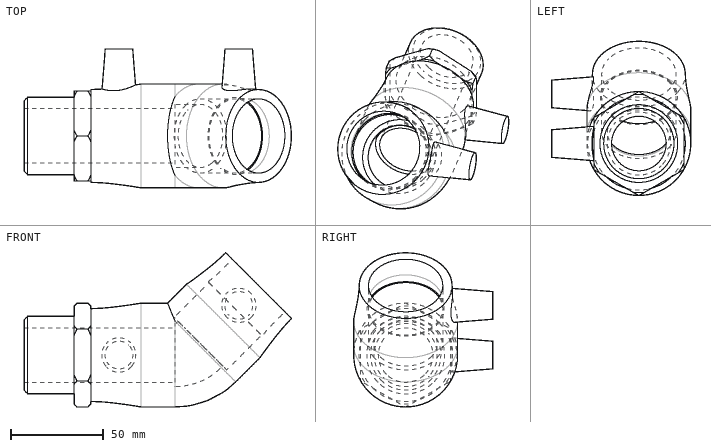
import cadquery as cq
import math

total_length = 144.0
bend_angle = 45.0
body_radius = 56.0 / 2
end_radius = 25.0
taper_length = 27.0

spigot_length = 27.0
spigot_radius = 41.9 / 2
spigot_chamfer = 2.0
hex_end = 36.0
hex_chamfer = 1.6
spigot_bore_radius = 29.4 / 2

bend_start = 81.4
bend_radius = 18.1
bend_bore_radius = 34.0 / 2
bend_tangent = bend_radius * math.tan(math.radians(bend_angle / 2))
corner_x = bend_start + bend_tangent

arm_cos = math.cos(math.radians(bend_angle))
arm_sin = math.sin(math.radians(bend_angle))
arm_length = (total_length - corner_x - end_radius * arm_sin) / arm_cos
socket_radius = 40.0 / 2
socket_bottom = 8.6
groove_radius = 20.7
groove_bottom = 35.1
groove_mouth = 41.0

post_top = 47.0
post_base = 11.5
post_tip_radius = 7.5
post_taper = 0.08
post_inset = 15.1


def cylinder(start, end, radius):
    """Cylinder along the X axis."""
    return cq.Workplane("YZ", origin=(start, 0, 0)).circle(radius).extrude(end - start)


def flared_body(end):
    """Body from its narrow end at x = 0, flaring to the full radius and running on to x = end."""
    return (
        cq.Workplane("XY")
        .lineTo(0, end_radius)
        .spline([(taper_length, body_radius)], tangents=[(1, 0), None], includeCurrent=True)
        .lineTo(end, body_radius)
        .lineTo(end, 0)
        .close()
        .revolve(360, (0, 0, 0), (1, 0, 0))
    )


def onto_arm(solid):
    """Carry a solid built along X from the origin onto the outlet arm axis."""
    return solid.rotate((0, 0, 0), (0, 1, 0), -bend_angle).translate((corner_x, 0, 0))


def revolve_bend(section):
    """Sweep a section at the bend start around the bend axis."""
    return section.revolve(bend_angle, (0, bend_radius, 0), (-1, bend_radius, 0))


def make_spigot():
    return cylinder(0, hex_end, spigot_radius).faces("<X").chamfer(spigot_chamfer)


def make_hexagon():
    """Hexagon with corners up and down, its corners bevelled at both ends."""
    width = hex_end - spigot_length
    hexagon = (
        cq.Workplane("YZ", origin=(spigot_length, 0, 0))
        .transformed(rotate=(0, 0, 90))
        .polygon(6, 2 * body_radius)
        .extrude(width)
    )
    bevel = cylinder(spigot_length, hex_end, body_radius).faces("<X or >X").chamfer(hex_chamfer)
    return hexagon.intersect(bevel)


def make_outer_bend():
    """Outer side of the elbow: the round section below the bend axis."""
    half_chord = math.sqrt(body_radius**2 - bend_radius**2)
    section = (
        cq.Workplane("YZ", origin=(bend_start, 0, 0))
        .moveTo(-half_chord, bend_radius)
        .threePointArc((0, -body_radius), (half_chord, bend_radius))
        .close()
    )
    return cq.Workplane(revolve_bend(section).val().toNURBS())


def make_post(x, z):
    base_radius = post_tip_radius + post_taper * (post_top - post_base)
    return cq.Workplane(
        cq.Solid.makeCone(
            base_radius, post_tip_radius, post_top - post_base,
            cq.Vector(x, post_base, z), cq.Vector(0, 1, 0),
        )
    )


def make_bore():
    """Passage through the spigot, around the bend and out through the socket."""
    inlet = cylinder(0, bend_start, spigot_bore_radius)
    section = cq.Workplane("YZ", origin=(bend_start, 0, 0)).circle(bend_bore_radius)
    bend = revolve_bend(section)
    outlet = cylinder(bend_tangent, socket_bottom, bend_bore_radius)
    socket = cylinder(socket_bottom, arm_length, socket_radius)
    groove = (
        cq.Workplane("XY")
        .polyline([
            (groove_bottom, 0),
            (groove_bottom, groove_radius),
            (groove_mouth, socket_radius),
            (groove_mouth, 0),
        ])
        .close()
        .revolve(360, (0, 0, 0), (1, 0, 0))
    )
    return inlet.union(bend).union(onto_arm(outlet.union(socket).union(groove)))


hub = flared_body(bend_start - hex_end).translate((hex_end, 0, 0))
arm = onto_arm(
    flared_body(arm_length - bend_tangent)
    .mirror("YZ")
    .translate((arm_length, 0, 0))
)
arm_post_distance = arm_length - post_inset

result = (
    hub.union(make_outer_bend())
    .union(arm)
    .union(make_spigot())
    .union(make_hexagon())
    .union(make_post(hex_end + post_inset, 0))
    .union(make_post(corner_x + arm_post_distance * arm_cos, arm_post_distance * arm_sin))
    .cut(make_bore())
)